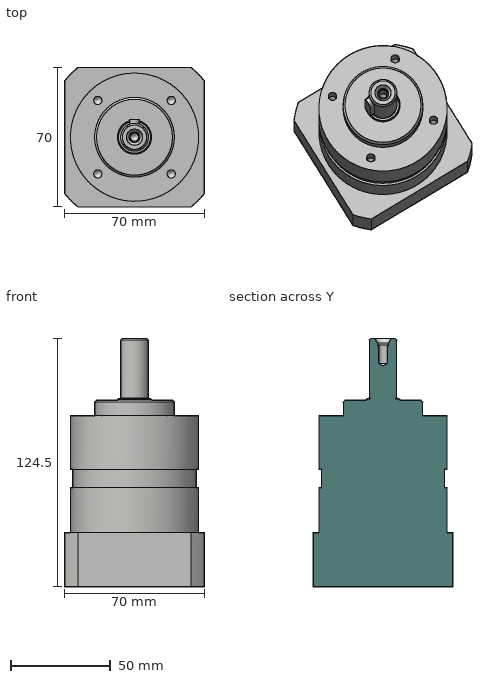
import cadquery as cq
import math

flange_width = 70.0
flange_corner_diameter = 90.0
flange_height = 27.3

housing_diameter = 64.2
waist_diameter = 62.0
waist_bottom = 49.8
waist_top = 58.9
housing_top = 85.8

pilot_diameter = 40.0
pilot_top = 93.6
pilot_chamfer = 1.0

seal_diameter = 17.0
seal_height = 0.7
seal_chamfer = 0.5

shaft_diameter = 14.0
shaft_bottom = 94.6
shaft_top = 124.5
neck_diameter = 13.0
shaft_chamfer = 0.9

key_width = 5.0
key_length = 25.0
key_height = 5.0
key_outer_y = 9.0
key_setback = 2.0
key_top = shaft_top - key_setback

center_mouth_diameter = 8.1
center_relief_diameter = 5.4
center_bore_diameter = 4.1
center_mouth_depth = 2.4
center_relief_depth = 3.4
center_bore_depth = 12.5

mount_circle_radius = 26.0
mount_hole_diameter = 4.1
mount_hole_depth = 10.0
mount_hole_count = 4
mount_hole_start_angle = 45.0

drill_point_angle = 118.0


def disc(diameter, bottom, top):
    """Cylinder on the Z axis between two heights."""
    return cq.Workplane("XY").workplane(offset=bottom).circle(diameter / 2).extrude(top - bottom)


def drill_tip_length(diameter):
    """Length of the conical end that a drill leaves."""
    return diameter / 2 / math.tan(math.radians(drill_point_angle / 2))


def make_flange():
    square = cq.Workplane("XY").rect(flange_width, flange_width).extrude(flange_height)
    return square.intersect(disc(flange_corner_diameter, 0, flange_height))


def make_housing():
    lower = disc(housing_diameter, flange_height, waist_bottom)
    waist = disc(waist_diameter, waist_bottom, waist_top)
    upper = disc(housing_diameter, waist_top, housing_top)
    return lower.union(waist).union(upper)


def make_pilot():
    return disc(pilot_diameter, housing_top, pilot_top).faces(">Z").chamfer(pilot_chamfer)


def make_seal():
    return disc(seal_diameter, pilot_top, pilot_top + seal_height).faces(">Z").chamfer(seal_chamfer)


def make_shaft():
    neck = disc(neck_diameter, pilot_top, shaft_bottom)
    shaft = disc(shaft_diameter, shaft_bottom, shaft_top).faces(">Z").chamfer(shaft_chamfer)
    return neck.union(shaft)


def make_key():
    profile = cq.Workplane("XZ", origin=(0, key_outer_y, key_top - key_length / 2))
    return profile.slot2D(key_length, key_width, 90).extrude(key_height)


def make_center_hole():
    mouth_radius = center_mouth_diameter / 2
    relief_radius = center_relief_diameter / 2
    bore_radius = center_bore_diameter / 2
    half_section = (
        cq.Workplane("XZ", origin=(0, 0, shaft_top))
        .lineTo(mouth_radius, 0)
        .lineTo(relief_radius, -center_mouth_depth)
        .lineTo(relief_radius, -center_relief_depth)
        .lineTo(bore_radius, -center_relief_depth)
        .lineTo(bore_radius, -center_bore_depth)
        .lineTo(0, -center_bore_depth - drill_tip_length(center_bore_diameter))
        .close()
    )
    return half_section.revolve(360, (0, 0, 0), (0, 1, 0))


def make_mount_holes():
    radius = mount_hole_diameter / 2
    hole = (
        cq.Workplane("XZ", origin=(0, 0, housing_top))
        .lineTo(radius, 0)
        .lineTo(radius, -mount_hole_depth)
        .lineTo(0, -mount_hole_depth - drill_tip_length(mount_hole_diameter))
        .close()
        .revolve(360, (0, 0, 0), (0, 1, 0))
    )
    spots = cq.Workplane("XY").polarArray(mount_circle_radius, mount_hole_start_angle, 360, mount_hole_count)
    return spots.eachpoint(lambda location: hole.val().moved(location), combine=False)


result = (
    make_flange()
    .union(make_housing())
    .union(make_pilot())
    .union(make_seal())
    .union(make_shaft())
    .union(make_key())
    .cut(make_center_hole())
    .cut(make_mount_holes())
)